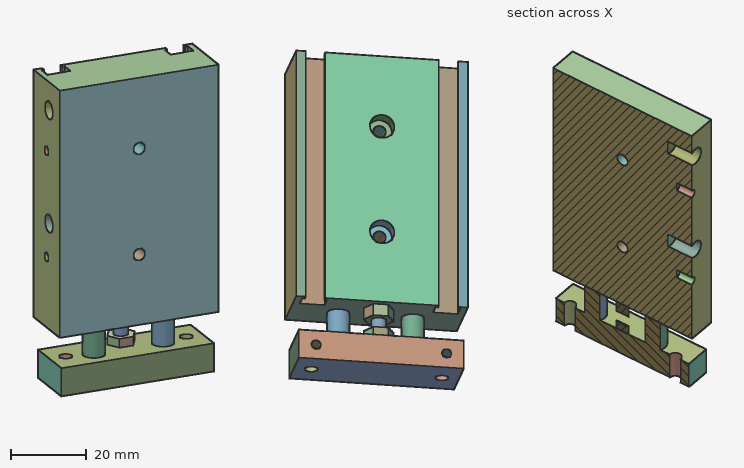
import cadquery as cq

total_height = 87
housing_width = 17.0
housing_length = 46.0
housing_height = 69.95
housing_bottom = total_height - housing_height
mid_x = housing_width / 2

slot_offset = 17.8
slot_mouth_width = 5.2
slot_inner_width = 6.6
slot_lip = 1.4
slot_depth = 5.0

mount_drops = (20.0, 50.0)
mount_hole_diameter = 3.3
counterbore_diameter = 6.5
counterbore_depth = 3.8

port_drops = (8.0, 40.0)
port_x = 10.0
port_diameter = 5.0
port_depth = 8.0
tapped_hole_diameter = 2.4
tapped_hole_depth = 5.0

plate_width = 15.0
plate_length = 44.2
plate_height = 8.0
plate_hole_offset = 17.5
plate_bore_diameter = 3.5
plate_tapped_hole_depth = 5.0
rod_diameter = 6.0
rod_x = 10.0
rod_offset = 10.0
rod_length = housing_bottom - plate_height

bolt_x = 5.2
bolt_diameter = 4.0
hex_corner_diameter = 8.0
nut_height = 2.5
head_height = 3.2


def box_between(x_min, x_max, y_center, y_width, z_min, z_max):
    """Box given by its X range, its Y centre and width, and its Z range."""
    return (
        cq.Workplane("XY")
        .box(x_max - x_min, y_width, z_max - z_min, centered=(False, True, False))
        .translate((x_min, y_center, z_min))
    )


def cylinder_x(diameter, length, y, z):
    """Cylinder running along +X from the plane X = 0."""
    return cq.Workplane("YZ").center(y, z).circle(diameter / 2).extrude(length)


def cylinder_from_side(diameter, depth, x, z):
    """Cylinder running along +Y from the -Y side of the housing."""
    side_plane = cq.Workplane("XZ", origin=(x, -housing_length / 2, z))
    return side_plane.circle(diameter / 2).extrude(-depth)


def cylinder_z(diameter, length, x, y, z_min):
    """Cylinder running along +Z from the given height."""
    return cq.Workplane("XY", origin=(x, y, z_min)).circle(diameter / 2).extrude(length)


def t_slot(y):
    """Cutter for one T-slot over the full height of the housing."""
    mouth = box_between(0, slot_lip, y, slot_mouth_width, housing_bottom, total_height)
    inner = box_between(slot_lip, slot_depth, y, slot_inner_width, housing_bottom, total_height)
    return mouth.union(inner)


def make_housing():
    """Block with T-slots, counterbored mounting holes and blind side holes."""
    body = box_between(0, housing_width, 0, housing_length, housing_bottom, total_height)
    for side in (-1, 1):
        body = body.cut(t_slot(side * slot_offset))
    for drop in mount_drops:
        z = total_height - drop
        body = body.cut(cylinder_x(mount_hole_diameter, housing_width, 0, z))
        body = body.cut(cylinder_x(counterbore_diameter, counterbore_depth, 0, z))
        body = body.cut(cylinder_from_side(tapped_hole_diameter, tapped_hole_depth, mid_x, z))
    for drop in port_drops:
        z = total_height - drop
        body = body.cut(cylinder_from_side(port_diameter, port_depth, port_x, z))
    return body


def make_rod_plate():
    """End plate with its two guide rods, which reach up to the housing."""
    plate_start = mid_x - plate_width / 2
    tapped_end = plate_start + plate_tapped_hole_depth
    plate = box_between(plate_start, plate_start + plate_width, 0, plate_length, 0, plate_height)
    for side in (-1, 1):
        hole_y = side * plate_hole_offset
        plate = plate.cut(cylinder_z(plate_bore_diameter, plate_height, mid_x, hole_y, 0))
        plate = plate.cut(cylinder_x(tapped_hole_diameter, tapped_end, hole_y, plate_height / 2))
        plate = plate.union(cylinder_z(rod_diameter, rod_length, rod_x, side * rod_offset, plate_height))
    return plate


def hexagon(height, z_min):
    """Hexagonal prism on the bolt axis, with two flats facing along X."""
    base = cq.Workplane("XY", origin=(bolt_x, 0, z_min))
    return base.transformed(rotate=(0, 0, 90)).polygon(6, hex_corner_diameter).extrude(height)


def make_stop_bolt():
    """Bolt shank with a hexagonal nut on the plate and a head under the housing."""
    shank = cylinder_z(bolt_diameter, rod_length, bolt_x, 0, plate_height)
    nut = hexagon(nut_height, plate_height)
    head = hexagon(head_height, housing_bottom - head_height)
    return shank.union(nut).union(head)


housing = make_housing()
rod_plate = make_rod_plate()
stop_bolt = make_stop_bolt()

result = cq.Compound.makeCompound([housing.val(), rod_plate.val(), stop_bolt.val()])